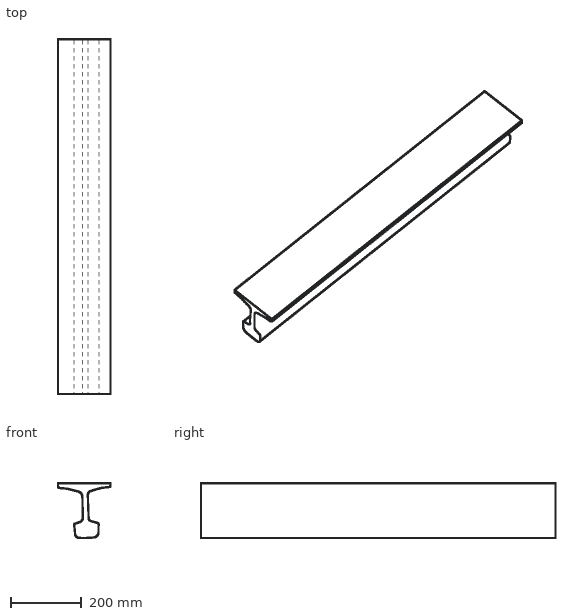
import cadquery as cq

length = 1000.0
foot_width = 148.0
height = 155.0
half_foot = foot_width / 2

left_side = [
    (-half_foot, -14.0, 5.0),
    (-49.0, -16.0, 60.0),
    (-6.0, -27.0, 15.0),
    (-4.0, -107.0, 13.0),
    (-29.0, -115.0, 4.0),
]
right_side = [
    (half_foot, -11.0, 4.0),
    (48.0, -14.0, 60.0),
    (10.0, -25.0, 12.0),
    (13.0, -105.0, 8.0),
    (41.0, -113.0, 5.0),
]

crown_left = (-25.0, -154.0, 12.0)
crown_right = (40.0, -152.0, 15.0)
crown_middle = (3.0, -height)


def place(corner):
    """Position of a corner in the section plane."""
    return corner[:2]


def rail_blank():
    """Full-length rail with sharp section corners, centred on Y = 0."""
    section = cq.Workplane("XZ").moveTo(-half_foot, 0)
    for corner in left_side + [crown_left]:
        section = section.lineTo(*place(corner))
    section = section.threePointArc(crown_middle, place(crown_right))
    for corner in reversed(right_side):
        section = section.lineTo(*place(corner))
    return section.lineTo(half_foot, 0).close().extrude(length / 2, both=True)


def round_corners(rail, corners):
    """Round the lengthwise edge at each section corner."""
    for x, z, radius in corners:
        edge = cq.selectors.NearestToPointSelector((x, 0, z))
        rail = rail.edges("|Y").edges(edge).fillet(radius)
    return rail


all_corners = left_side + [crown_left, crown_right] + right_side
result = round_corners(rail_blank(), all_corners)